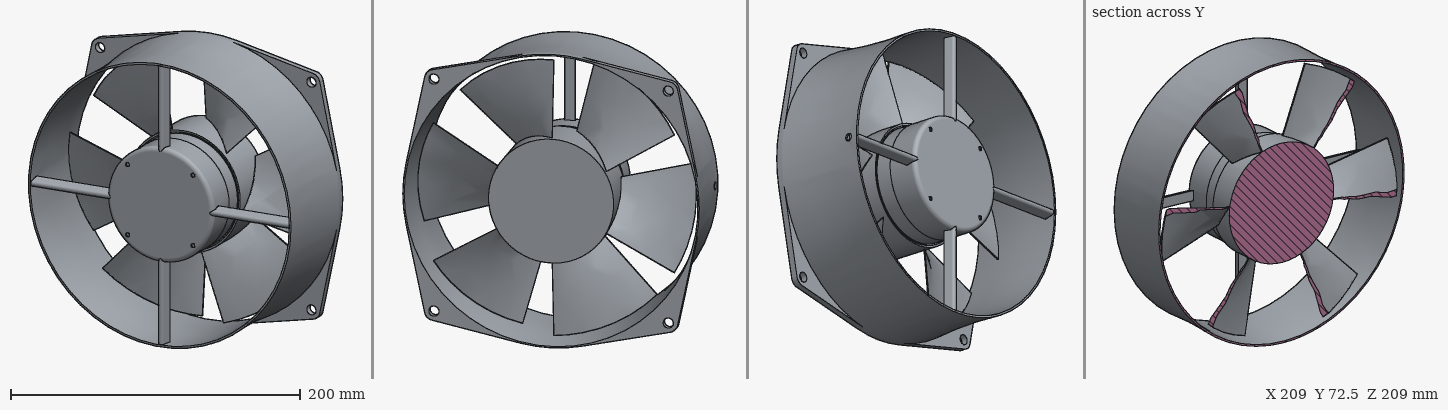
import cadquery as cq
import math

DEPTH = 72.5

FLANGE_RADIUS = 104.5
FLANGE_THICKNESS = 5.0
CORNER_COUNT = 4
CORNER_CENTER = 82.5
CORNER_RADIUS = 6.7
MOUNT_HOLE_RADIUS = 3.5
SHROUD_FRONT_RADIUS = 102.6
SHROUD_THROAT_RADIUS = 102.0
SHROUD_THROAT_DEPTH = 22.4
SHROUD_WALL = 1.5
BORE_BACK_RADIUS = 103.5
CABLE_HOLE_RADIUS = 2.7
CABLE_HOLE_DEPTH = 7.7

COVER_RADIUS = 41.5
COVER_FRONT = 0.6
COVER_BACK = 23.8
COVER_FILLET = 3.3
COVER_FACE_RADIUS = COVER_RADIUS - COVER_FILLET
SCREW_HOLE_OFFSET = 25.5
SCREW_HOLE_RADIUS = 1.5
SCREW_HOLE_DEPTH = 1.0
STRUT_COUNT = 4
STRUT_NOSE_RADIUS = 2.0
STRUT_HALF_WIDTH = 3.8
STRUT_BACK = 8.2
STRUT_FLANK_ANGLE = 15.0

MOTOR_BACK = 36.0

HUB_RADIUS = 44.0
HUB_FRONT = 35.3
HUB_RECESS_RADIUS = 42.6
BLADE_COUNT = 6
BLADE_START_ANGLE = -15.0
BLADE_SPAN_ANGLE = 45.0
BLADE_TIP_RADIUS = 98.0
BLADE_THICKNESS = 1.0
TIP_FRONT, TIP_BACK = 46.0, 62.3
ROOT_FRONT, ROOT_BACK = 39.3, 68.0
ROOT_EMBED = 1.0
CURVE_POINTS = 9


def disc(radius, start, end):
    """Cylinder about the fan axis between two depths."""
    return cq.Workplane("XZ").workplane(offset=-end).circle(radius).extrude(end - start)


def polar(radius, angle, center=0.0):
    """Point at an angle in degrees around a center lying on the diagonal."""
    turn = math.radians(angle)
    return center + radius * math.cos(turn), center + radius * math.sin(turn)


def barrel(front_radius, throat_radius, back_radius, back):
    """Waisted solid of revolution from the front plane to a given depth."""
    return (
        cq.Workplane("XY")
        .lineTo(front_radius, 0)
        .threePointArc((throat_radius, SHROUD_THROAT_DEPTH), (back_radius, back))
        .lineTo(0, back)
        .close()
        .revolve(360, (0, 0, 0), (0, 1, 0))
    )


def bore():
    """Air passage through the housing."""
    return barrel(
        SHROUD_FRONT_RADIUS - SHROUD_WALL, SHROUD_THROAT_RADIUS - SHROUD_WALL, BORE_BACK_RADIUS, DEPTH
    )


def flange_corner():
    """Rounded corner whose two edges run tangent into the round flange."""
    tangent_turn = math.degrees(
        math.acos((FLANGE_RADIUS - CORNER_RADIUS) / (CORNER_CENTER * math.sqrt(2)))
    )
    low, high = 45 - tangent_turn, 45 + tangent_turn
    return (
        cq.Workplane("XZ")
        .workplane(offset=-DEPTH)
        .lineTo(*polar(FLANGE_RADIUS, low))
        .lineTo(*polar(CORNER_RADIUS, low, CORNER_CENTER))
        .threePointArc(
            polar(CORNER_RADIUS, 45, CORNER_CENTER),
            polar(CORNER_RADIUS, high, CORNER_CENTER),
        )
        .lineTo(*polar(FLANGE_RADIUS, high))
        .close()
        .extrude(FLANGE_THICKNESS)
        .faces("<Y")
        .workplane(origin=(CORNER_CENTER, 0, CORNER_CENTER))
        .circle(MOUNT_HOLE_RADIUS)
        .cutThruAll()
    )


def around(shape, index, count):
    """Copy of a shape turned about the fan axis to its place in a ring."""
    return shape.rotate((0, 0, 0), (0, 1, 0), index * 360 / count)


def make_housing():
    flange_front = DEPTH - FLANGE_THICKNESS
    shroud = barrel(SHROUD_FRONT_RADIUS, SHROUD_THROAT_RADIUS, FLANGE_RADIUS, flange_front)
    housing = shroud.union(disc(FLANGE_RADIUS, flange_front, DEPTH))
    for index in range(CORNER_COUNT):
        housing = housing.union(around(flange_corner(), index, CORNER_COUNT))
    cable_hole = (
        cq.Workplane("YZ")
        .center(CABLE_HOLE_DEPTH, 0)
        .circle(CABLE_HOLE_RADIUS)
        .extrude(-FLANGE_RADIUS)
    )
    return housing.cut(bore()).cut(cable_hole)


def strut():
    """Strut along +X: a rounded nose at the front and flanks that widen to the flat back."""
    flank = math.radians(STRUT_FLANK_ANGLE)
    nose_half_width = STRUT_NOSE_RADIUS * math.cos(flank)
    nose_back = COVER_FRONT + STRUT_NOSE_RADIUS * (1 - math.sin(flank))
    return (
        cq.Workplane("YZ")
        .workplane(offset=COVER_FACE_RADIUS)
        .moveTo(nose_back, -nose_half_width)
        .threePointArc((COVER_FRONT, 0), (nose_back, nose_half_width))
        .lineTo(STRUT_BACK, STRUT_HALF_WIDTH)
        .lineTo(STRUT_BACK, -STRUT_HALF_WIDTH)
        .close()
        .extrude(FLANGE_RADIUS - COVER_FACE_RADIUS)
        .intersect(bore())
    )


def make_spider():
    cover = disc(COVER_RADIUS, COVER_FRONT, COVER_BACK)
    spider = cover.faces("<Y").edges().fillet(COVER_FILLET)
    for index in range(STRUT_COUNT):
        spider = spider.union(around(strut(), index, STRUT_COUNT))
    return (
        spider.faces("<Y")
        .workplane(origin=(0, COVER_FRONT, 0))
        .rect(2 * SCREW_HOLE_OFFSET, 2 * SCREW_HOLE_OFFSET, forConstruction=True)
        .vertices()
        .hole(2 * SCREW_HOLE_RADIUS, SCREW_HOLE_DEPTH)
    )


def blade_curve(radius):
    """Edge of equal pitch around the hub; its depth range tapers evenly from root to tip."""
    outward = (radius - HUB_RADIUS) / (BLADE_TIP_RADIUS - HUB_RADIUS)
    front = ROOT_FRONT + outward * (TIP_FRONT - ROOT_FRONT)
    back = ROOT_BACK + outward * (TIP_BACK - ROOT_BACK)
    points = []
    for step in range(CURVE_POINTS):
        along = step / (CURVE_POINTS - 1)
        x, z = polar(radius, BLADE_START_ANGLE + BLADE_SPAN_ANGLE * along)
        points.append(cq.Vector(x, front + along * (back - front), z))
    return cq.Edge.makeSpline(points)


def blade():
    root = blade_curve(HUB_RADIUS - ROOT_EMBED)
    tip = blade_curve(BLADE_TIP_RADIUS)
    sheet = cq.Face.makeRuledSurface(root, tip)
    return cq.Workplane(cq.Solid.extrudeLinear(sheet, cq.Vector(0, BLADE_THICKNESS, 0)))


def make_impeller():
    hub = disc(HUB_RADIUS, HUB_FRONT, DEPTH)
    impeller = hub.cut(disc(HUB_RECESS_RADIUS, HUB_FRONT, MOTOR_BACK))
    for index in range(BLADE_COUNT):
        impeller = impeller.union(around(blade(), index, BLADE_COUNT))
    return impeller


housing = make_housing()
spider = make_spider()
motor = disc(COVER_RADIUS, COVER_BACK, MOTOR_BACK)
impeller = make_impeller()

result = cq.Compound.makeCompound(
    [housing.val(), spider.val(), motor.val(), impeller.val()]
)